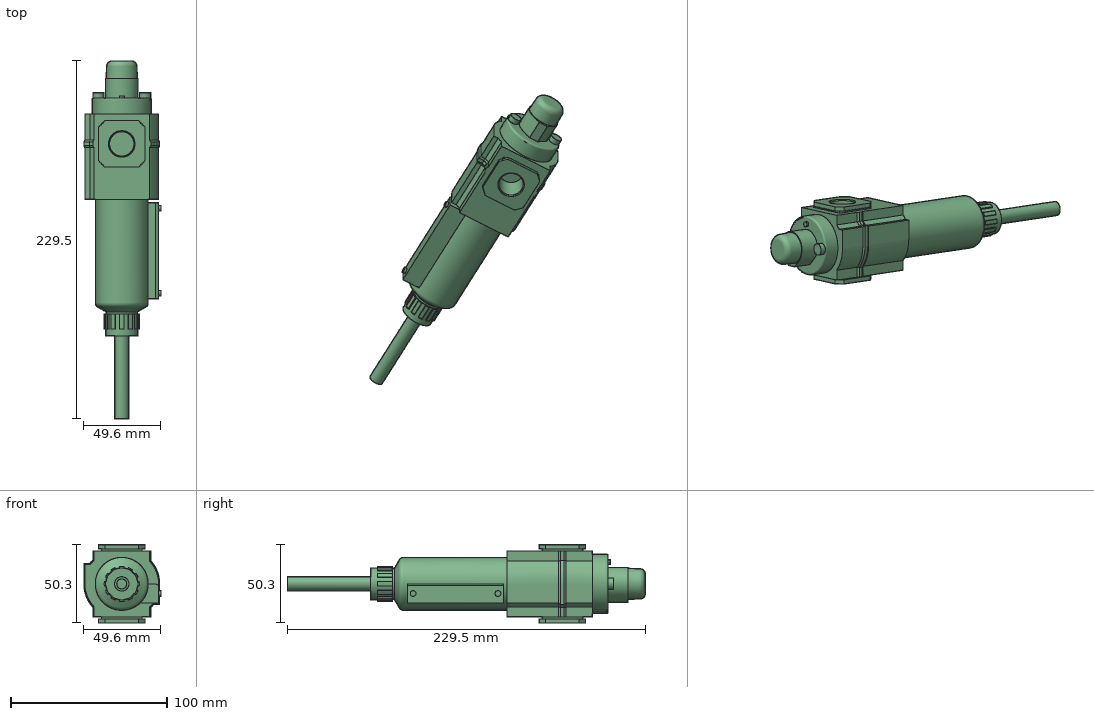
import cadquery as cq
import math


overall_length = 229.5
knob_end_y = 53.3
knob_step_y = 42.0
bonnet_end_y = 29.5
housing_back_y = 19.3
housing_front_y = -35.5
bowl_corner_y = -103.8
bowl_end_y = -107.7
nut_end_y = -123.0
tube_end_y = knob_end_y - overall_length

housing_half_width = 18.0
housing_half_height = 21.1
flank_reach = 23.6
flank_arc_end_z = 14.7
ledge_z = 12.5
ledge_inner_x = 20.5
ledge_slope_z = 15.0
bead_height = 0.7
bead_top_width = 2.3
bead_flank_width = 1.26

pad_half_size = 15.0
pad_corner_cut = 4.1
overall_height = 50.3
pad_outer_z = overall_height / 2
pad_thickness = 2.8
pad_neck_inset = 1.8
port_radius = 7.8
port_chamfer = 0.7
port_depth = 18.4

bonnet_radius = 19.0
bonnet_edge_fillet = 1.1
collar_radius = 10.5
pointer_reach = 12.0
knob_base_radius = 10.0
knob_top_radius = 9.6
knob_edge_fillet = 3.7
screw_offset = 15.0
bonnet_screw_radius = 3.7
bonnet_screw_height = 3.5
pin_radius = 1.5
pin_height = 1.4
pin_z = 14.0

bowl_radius = 17.0
bowl_edge_fillet = 3.0
gauge_back_y = -37.7
gauge_front_y = -99.5
gauge_outer_x = 23.6
gauge_shoulder_x = 21.5
gauge_shoulder_drop = 1.0
gauge_bottom_z = -12.5
gauge_screw_radius = 1.8
gauge_screw_tip_x = 25.3
gauge_screw_inset = 3.7

nut_radius = 10.3
nut_neck_radius = 10.0
rib_count = 12
rib_outer_radius = 11.3
rib_width = 2.8
rib_back_y = -109.0
rib_front_y = -118.7

tube_radius = 4.5
tube_bore_radius = 3.2


def section_plane(y):
    """Plane across the axis, with local x = X and local y = Z, facing -Y."""
    return cq.Workplane("XZ", origin=(0, y, 0))


def rod(y_back, y_front, radius, x=0, z=0):
    """Cylinder parallel to the axis between two stations."""
    return section_plane(y_back).center(x, z).circle(radius).extrude(y_back - y_front)


def housing_outline(y):
    """Cross-section of the housing; it repeats after half a turn about the axis."""
    w, h = housing_half_width, housing_half_height
    return (
        section_plane(y)
        .moveTo(w, h)
        .lineTo(-w, h)
        .lineTo(-w, ledge_slope_z)
        .lineTo(-ledge_inner_x, ledge_z)
        .lineTo(-flank_reach, ledge_z)
        .lineTo(-flank_reach, 0)
        .tangentArcPoint((-w, -flank_arc_end_z), relative=False)
        .lineTo(-w, -h)
        .lineTo(w, -h)
        .lineTo(w, -ledge_slope_z)
        .lineTo(ledge_inner_x, -ledge_z)
        .lineTo(flank_reach, -ledge_z)
        .lineTo(flank_reach, 0)
        .tangentArcPoint((w, flank_arc_end_z), relative=False)
        .close()
    )


def side_bead():
    """Raised band with sloped flanks on both sides of the housing, level with the ports."""
    half_top = bead_top_width / 2
    crest = housing_outline(half_top).offset2D(bead_height, "intersection")
    band = crest.extrude(bead_top_width)
    flank_taper = math.degrees(math.atan2(bead_height, bead_flank_width))
    for side in (1, -1):
        flank = (
            housing_outline(side * half_top)
            .offset2D(bead_height, "intersection")
            .extrude(-side * bead_flank_width, taper=flank_taper)
        )
        band = band.union(flank)
    limits = cq.Workplane().box(4 * flank_reach, 4 * bead_top_width, 2 * housing_half_height)
    return band.intersect(limits)


def square_plate(z_low, z_high, half_size):
    return cq.Workplane("XY", origin=(0, 0, z_low)).rect(2 * half_size, 2 * half_size).extrude(z_high - z_low)


def port_pad():
    """Upper port pad with cut corners, standing on a slightly smaller square neck."""
    pad_inner_z = pad_outer_z - pad_thickness
    pad = square_plate(pad_inner_z, pad_outer_z, pad_half_size).edges("|Z").chamfer(pad_corner_cut)
    neck = square_plate(housing_half_height, pad_inner_z, pad_half_size - pad_neck_inset)
    return pad.union(neck)


def port_hole():
    """Upper blind port with a chamfered mouth."""
    floor_z = pad_outer_z - port_depth
    profile = [
        (0, floor_z),
        (port_radius, floor_z),
        (port_radius, pad_outer_z - port_chamfer),
        (port_radius + port_chamfer, pad_outer_z),
        (0, pad_outer_z),
    ]
    return cq.Workplane("XZ").polyline(profile).close().revolve(360, (0, 0), (0, 1))


def make_housing():
    body = housing_outline(housing_back_y).extrude(housing_back_y - housing_front_y)
    body = body.union(side_bead())
    for turn in (0, 180):
        body = body.union(port_pad().rotate((0, 0, 0), (0, 1, 0), turn))
        body = body.cut(port_hole().rotate((0, 0, 0), (0, 1, 0), turn))
    return body


def make_bonnet():
    flange = rod(bonnet_end_y, housing_back_y, bonnet_radius).faces(">Y").edges().fillet(bonnet_edge_fillet)

    collar = rod(knob_step_y, bonnet_end_y, collar_radius)
    tangent_point = collar_radius * math.sqrt(0.5)
    pointer_half_width = collar_radius * math.sqrt(2) - pointer_reach
    pointer = (
        section_plane(knob_step_y)
        .polyline([
            (-tangent_point, -tangent_point),
            (-pointer_half_width, -pointer_reach),
            (pointer_half_width, -pointer_reach),
            (tangent_point, -tangent_point),
        ])
        .close()
        .extrude(knob_step_y - bonnet_end_y)
    )

    knob = (
        cq.Workplane("XY")
        .polyline([
            (0, knob_step_y),
            (knob_base_radius, knob_step_y),
            (knob_top_radius, knob_end_y),
            (0, knob_end_y),
        ])
        .close()
        .revolve(360, (0, 0), (0, 1))
        .faces(">Y").edges().fillet(knob_edge_fillet)
    )

    bonnet = flange.union(collar).union(pointer).union(knob)
    root_y = bonnet_end_y - bonnet_edge_fillet
    for x in (-screw_offset, screw_offset):
        bonnet = bonnet.union(rod(bonnet_end_y + bonnet_screw_height, root_y, bonnet_screw_radius, x=x))
    return bonnet.union(rod(bonnet_end_y + pin_height, root_y, pin_radius, z=pin_z))


def make_gauge():
    """Level gauge along the bowl: a bar with a sloped shoulder and two screw heads."""
    bar = (
        section_plane(gauge_back_y)
        .polyline([
            (0, 0),
            (gauge_shoulder_x, 0),
            (gauge_outer_x, -gauge_shoulder_drop),
            (gauge_outer_x, gauge_bottom_z),
            (0, gauge_bottom_z),
        ])
        .close()
        .extrude(gauge_back_y - gauge_front_y)
    )
    screw_stations = (gauge_back_y - gauge_screw_inset, gauge_front_y + gauge_screw_inset)
    screws = (
        cq.Workplane("YZ", origin=(gauge_outer_x, 0, gauge_bottom_z / 2))
        .pushPoints([(y, 0) for y in screw_stations])
        .circle(gauge_screw_radius)
        .extrude(gauge_screw_tip_x - gauge_outer_x)
    )
    return bar.union(screws)


def make_bowl():
    shell = (
        cq.Workplane("XY")
        .polyline([
            (0, housing_front_y),
            (bowl_radius, housing_front_y),
            (bowl_radius, bowl_corner_y),
            (nut_neck_radius, bowl_end_y),
            (0, bowl_end_y),
        ])
        .close()
        .revolve(360, (0, 0), (0, 1))
    )
    outer_corner = shell.edges("%CIRCLE").edges(cq.selectors.CenterNthSelector(cq.Vector(0, 1, 0), 1))
    return outer_corner.fillet(bowl_edge_fillet).union(make_gauge())


def make_nut():
    nut = rod(bowl_end_y, rib_back_y, nut_neck_radius).union(rod(rib_back_y, nut_end_y, nut_radius))
    rib_length = rib_back_y - rib_front_y
    rib_envelope = rod(rib_back_y, rib_front_y, rib_outer_radius)
    for i in range(rib_count // 2):
        bar = (
            section_plane(rib_back_y)
            .rect(4 * rib_outer_radius, rib_width)
            .extrude(rib_length)
            .rotate((0, 0, 0), (0, 1, 0), i * 360 / rib_count)
        )
        nut = nut.union(bar.intersect(rib_envelope))
    return nut


def make_tube():
    return rod(nut_end_y, tube_end_y, tube_radius).cut(rod(nut_end_y, tube_end_y, tube_bore_radius))


housing = make_housing()
bonnet = make_bonnet()
bowl = make_bowl()
nut = make_nut()
tube = make_tube()

result = cq.Compound.makeCompound([
    housing.val(),
    bonnet.val(),
    bowl.val(),
    nut.val(),
    tube.val(),
])